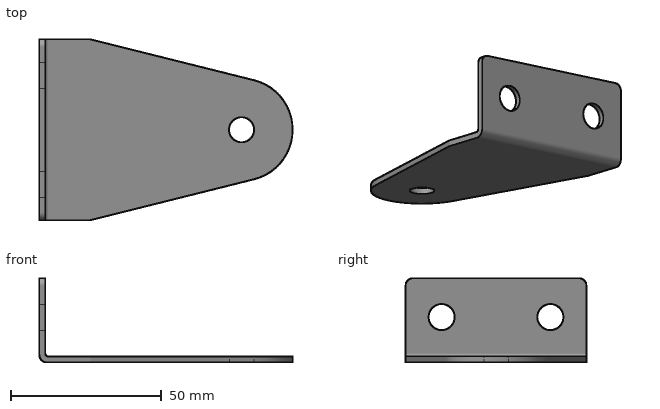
import cadquery as cq
import math

length = 84.0
width = 60.0
height = 28.0

thickness = 2.0
bend_inner_radius = 1.0
bend_outer_radius = 2.5

shoulder_length = 17.0
end_radius = 17.0
end_center_x = length - end_radius
base_hole_diameter = 8.2

flange_corner_radius = 2.5
flange_hole_diameter = 8.6
flange_hole_spacing = 36.0
flange_hole_height = 15.0


def bent_sheet():
    """L-shaped sheet across the full width, rounded inside and outside the bend."""
    profile = (
        cq.Workplane("XZ")
        .polyline([
            (0, 0),
            (length, 0),
            (length, thickness),
            (thickness, thickness),
            (thickness, height),
            (0, height),
        ])
        .close()
        .extrude(width / 2, both=True)
    )
    outer_edge = cq.NearestToPointSelector((0, 0, 0))
    inner_edge = cq.NearestToPointSelector((thickness, 0, thickness))
    return (
        profile
        .edges("|Y").edges(outer_edge).fillet(bend_outer_radius)
        .edges("|Y").edges(inner_edge).fillet(bend_inner_radius)
    )


def plan_outline():
    """Prism of the tapered plan shape, with the sides tangent to the round end."""
    run = end_center_x - shoulder_length
    half_width = width / 2
    distance = math.hypot(run, half_width)
    normal_angle = math.atan2(half_width, -run) - math.acos(end_radius / distance)
    tangent_x = end_center_x + end_radius * math.cos(normal_angle)
    tangent_y = end_radius * math.sin(normal_angle)
    return (
        cq.Workplane("XY")
        .moveTo(0, -half_width)
        .lineTo(shoulder_length, -half_width)
        .lineTo(tangent_x, -tangent_y)
        .threePointArc((length, 0), (tangent_x, tangent_y))
        .lineTo(shoulder_length, half_width)
        .lineTo(0, half_width)
        .close()
        .extrude(height)
    )


def base_hole():
    """Cutter for the hole concentric with the round end."""
    return (
        cq.Workplane("XY")
        .center(end_center_x, 0)
        .circle(base_hole_diameter / 2)
        .extrude(thickness)
    )


def flange_holes():
    """Cutters for the pair of holes through the upright flange."""
    return (
        cq.Workplane("YZ")
        .pushPoints([(side * flange_hole_spacing / 2, flange_hole_height) for side in (-1, 1)])
        .circle(flange_hole_diameter / 2)
        .extrude(thickness)
    )


bracket = bent_sheet().intersect(plan_outline())

bracket = bracket.faces(">Z").edges("|X").fillet(flange_corner_radius)

result = bracket.cut(base_hole()).cut(flange_holes())